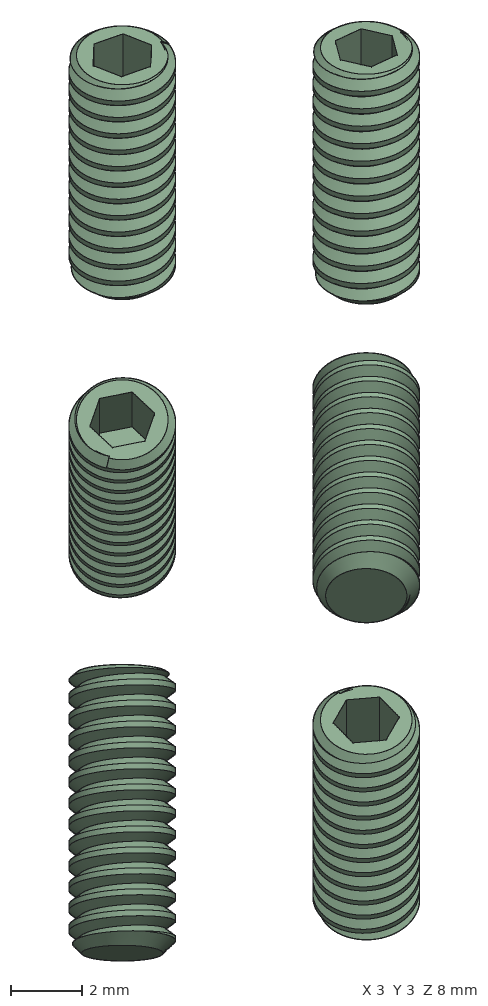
import cadquery as cq

length = 8.0
major_radius = 1.5
root_radius = 1.22

pitch = 0.6
groove_width = 0.43
groove_turns = 13.5
groove_overshoot = 0.05
groove_end_angle = 90.0

top_chamfer_width = 0.22
top_chamfer_height = 0.19
point_chamfer = 0.36

socket_across_flats = 1.62
socket_depth = 2.0


def make_blank():
    """Turned blank with a conical chamfer at each end."""
    return (
        cq.Workplane("XZ")
        .lineTo(major_radius - point_chamfer, 0)
        .lineTo(major_radius, point_chamfer)
        .lineTo(major_radius, length - top_chamfer_height)
        .lineTo(major_radius - top_chamfer_width, length)
        .lineTo(0, length)
        .close()
        .revolve(360, (0, 0, 0), (0, 1, 0))
    )


def make_thread_groove():
    """V-shaped cutter wound from below the point up to the top face."""
    height = pitch * groove_turns
    outer_radius = major_radius + groove_overshoot
    flank_slope = groove_width / 2 / (major_radius - root_radius)
    outer_half_width = flank_slope * (outer_radius - root_radius)

    helix = cq.Wire.makeHelix(pitch, height, root_radius)
    profile = (
        cq.Workplane("XZ")
        .moveTo(root_radius, 0)
        .lineTo(outer_radius, outer_half_width)
        .lineTo(outer_radius, -outer_half_width)
        .close()
    )
    start_angle = groove_end_angle - 360 * groove_turns
    return (
        profile.sweep(cq.Workplane(helix), isFrenet=True)
        .rotate((0, 0, 0), (0, 0, 1), start_angle)
        .translate((0, 0, length - height))
    )


def make_socket():
    """Hexagonal prism with flats facing +X and -X."""
    return (
        cq.Workplane("XY", origin=(0, 0, length - socket_depth))
        .polygon(6, socket_across_flats, circumscribed=True)
        .extrude(socket_depth)
    )


screw = make_blank().cut(make_thread_groove()).cut(make_socket())
result = cq.Workplane(screw.val().Solids()[0])